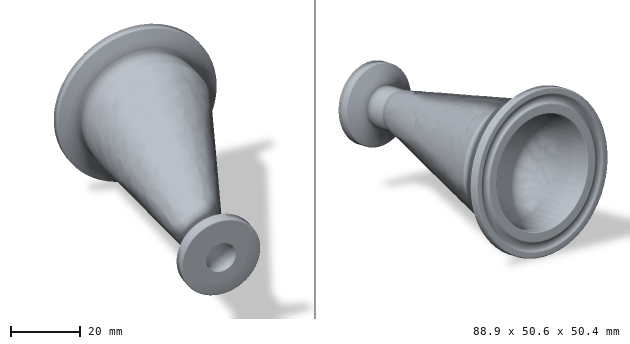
import cadquery as cq
import math

LENGTH = 88.9
FERRULE_LENGTH = 12.7
SMALL_END_SHIFT = 12.9

LARGE_FLANGE_RADIUS = 50.4 / 2
LARGE_TUBE_RADIUS = 38.1 / 2
LARGE_BORE_RADIUS = 34.8 / 2
BORE_LIP_FILLET = 0.4
LARGE_RIM_WIDTH = 2.85
NECK_FILLET = 0.9

SMALL_FLANGE_RADIUS = 25.0 / 2
SMALL_TUBE_RADIUS = 12.7 / 2
SMALL_BORE_RADIUS = 9.4 / 2
SMALL_RIM_WIDTH = 3.65

CLAMP_ANGLE = math.radians(20)
RIM_FILLET = 0.45

GROOVE_RADIUS = 21.8
GROOVE_WIDTH = 2.7
GROOVE_DEPTH = 1.0
GROOVE_LIP_FILLET = 0.5

EDGE_TOLERANCE = 0.1


def ferrule_body(flange_radius, tube_radius, rim_width):
    """Solid ferrule from its sealing face at X = 0, and the X where its clamp taper ends."""
    taper_end = rim_width + (flange_radius - tube_radius) * math.tan(CLAMP_ANGLE)
    body = (
        cq.Workplane("XY")
        .moveTo(0, 0)
        .lineTo(0, flange_radius)
        .lineTo(rim_width, flange_radius)
        .lineTo(taper_end, tube_radius)
        .lineTo(FERRULE_LENGTH, tube_radius)
        .lineTo(FERRULE_LENGTH, 0)
        .close()
        .revolve(360, (0, 0, 0), (1, 0, 0))
    )
    rim_edges = cq.selectors.RadiusNthSelector(-1)
    return body.edges(rim_edges).fillet(RIM_FILLET), taper_end


def round_neck(body, neck_x):
    """Fillet the inside corner where the clamp taper meets the tube."""
    reach = LARGE_FLANGE_RADIUS
    corner = cq.selectors.BoxSelector(
        (neck_x - EDGE_TOLERANCE, -reach, -reach), (neck_x + EDGE_TOLERANCE, reach, reach)
    )
    return body.edges(corner).fillet(NECK_FILLET)


def gasket_groove():
    """Ring of circular-arc section cut into the face at X = 0."""
    half_width = GROOVE_WIDTH / 2
    return (
        cq.Workplane("XY")
        .moveTo(0, GROOVE_RADIUS - half_width)
        .threePointArc((GROOVE_DEPTH, GROOVE_RADIUS), (0, GROOVE_RADIUS + half_width))
        .close()
        .revolve(360, (0, 0, 0), (1, 0, 0))
    )


def round_groove_lips(body):
    """Fillet the two circular edges where the groove meets the sealing face."""
    lip_radii = (GROOVE_RADIUS - GROOVE_WIDTH / 2, GROOVE_RADIUS + GROOVE_WIDTH / 2)
    lips = [
        edge
        for edge in body.faces("<X").edges("%CIRCLE").vals()
        if any(math.isclose(edge.radius(), radius, abs_tol=EDGE_TOLERANCE) for radius in lip_radii)
    ]
    return body.newObject(lips).fillet(GROOVE_LIP_FILLET)


def eccentric_cone(large_radius, small_radius):
    """Straight-sided solid between the offset circles at the inner ends of the ferrules."""
    return (
        cq.Workplane("YZ", origin=(FERRULE_LENGTH, 0, 0))
        .circle(large_radius)
        .workplane(offset=LENGTH - 2 * FERRULE_LENGTH)
        .center(-SMALL_END_SHIFT, 0)
        .circle(small_radius)
        .loft(ruled=True)
    )


def bore_cylinder(radius):
    """Straight bore through one ferrule, starting at X = 0."""
    return cq.Workplane("YZ").circle(radius).extrude(FERRULE_LENGTH)


def to_small_end(shape):
    """Turn a shape built from X = 0 around so that its face lies on the small end."""
    return shape.mirror("YZ").translate((LENGTH, -SMALL_END_SHIFT, 0))


large_ferrule, large_neck_x = ferrule_body(LARGE_FLANGE_RADIUS, LARGE_TUBE_RADIUS, LARGE_RIM_WIDTH)
large_ferrule = round_neck(large_ferrule, large_neck_x)
large_ferrule = round_groove_lips(large_ferrule.cut(gasket_groove()))

small_ferrule, _ = ferrule_body(SMALL_FLANGE_RADIUS, SMALL_TUBE_RADIUS, SMALL_RIM_WIDTH)

outside = (
    eccentric_cone(LARGE_TUBE_RADIUS, SMALL_TUBE_RADIUS)
    .union(large_ferrule)
    .union(to_small_end(small_ferrule))
)

passage = (
    eccentric_cone(LARGE_BORE_RADIUS, SMALL_BORE_RADIUS)
    .union(bore_cylinder(LARGE_BORE_RADIUS))
    .union(to_small_end(bore_cylinder(SMALL_BORE_RADIUS)))
)

fitting = outside.cut(passage)

bore_lip = cq.selectors.RadiusNthSelector(0)
result = fitting.faces("<X").edges(bore_lip).fillet(BORE_LIP_FILLET)